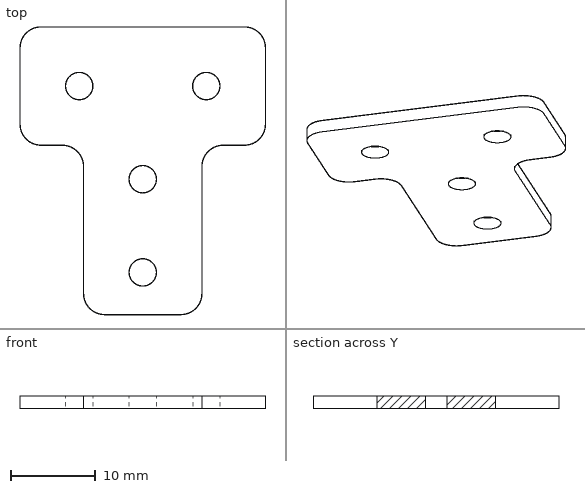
import cadquery as cq

bar_length = 29.0
plate_height = 34.0
thickness = 1.5

arm_width = 14.0
corner_radius = 2.5

hole_diameter = 3.2
bar_hole_spacing = 15.0
stem_hole_spacing = 11.0

top_y = plate_height / 2
bottom_y = -plate_height / 2
bar_center_y = top_y - arm_width / 2
stem_center_y = (top_y + bottom_y) / 2


def make_plate():
    """T-shaped plate with every outer and inner corner rounded."""
    bar = (
        cq.Workplane("XY")
        .center(0, bar_center_y)
        .rect(bar_length, arm_width)
        .extrude(thickness)
    )
    stem = (
        cq.Workplane("XY")
        .center(0, stem_center_y)
        .rect(arm_width, plate_height)
        .extrude(thickness)
    )
    return bar.union(stem).clean().edges("|Z").fillet(corner_radius)


def drill_holes(plate):
    """Two through holes across the bar and two down the centre of the stem."""
    hole_centers = [
        (-bar_hole_spacing / 2, bar_center_y),
        (bar_hole_spacing / 2, bar_center_y),
        (0, bar_center_y - stem_hole_spacing),
        (0, bar_center_y - 2 * stem_hole_spacing),
    ]
    holes = (
        cq.Workplane("XY")
        .pushPoints(hole_centers)
        .circle(hole_diameter / 2)
        .extrude(thickness)
    )
    return plate.cut(holes)


result = drill_holes(make_plate())